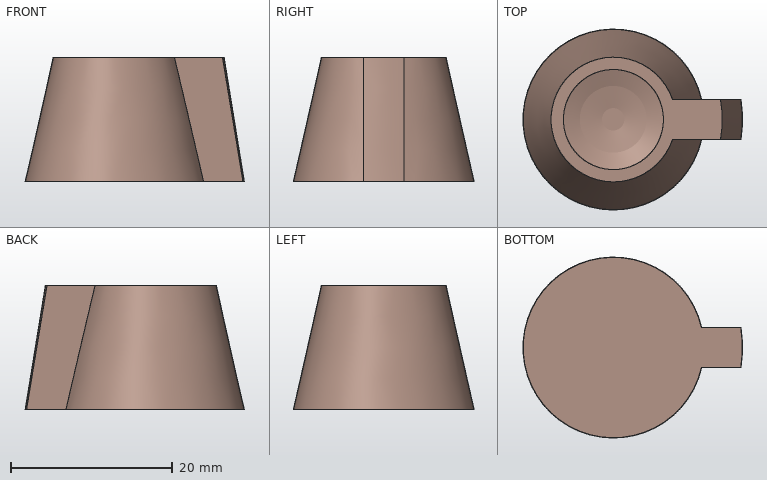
import cadquery as cq

height = 15.4
base_radius = 11.2
top_radius = 7.72

lug_width = 5.0
lug_base_reach = 16.0
lug_top_reach = 13.5

dish_rim_radius = 6.2
dish_break_radius = 4.13
dish_floor_radius = 1.4
dish_break_depth = 0.73
dish_floor_depth = 1.22


def cone(bottom_radius, upper_radius):
    """Full-height truncated cone about the Z axis."""
    profile = [(0, 0), (bottom_radius, 0), (upper_radius, height), (0, height)]
    return cq.Workplane("XZ").polyline(profile).close().revolve(360, (0, 0), (0, 1))


def lug():
    """Radial bar along +X, trimmed by the larger cone."""
    bar = cq.Workplane("XY").box(lug_base_reach, lug_width, height, centered=(False, True, False))
    return bar.intersect(cone(lug_base_reach, lug_top_reach))


def dish():
    """Two conical slopes running down to a small flat floor."""
    profile = [
        (0, height),
        (dish_rim_radius, height),
        (dish_break_radius, height - dish_break_depth),
        (dish_floor_radius, height - dish_floor_depth),
        (0, height - dish_floor_depth),
    ]
    return cq.Workplane("XZ").polyline(profile).close().revolve(360, (0, 0), (0, 1))


result = cone(base_radius, top_radius).union(lug()).cut(dish())